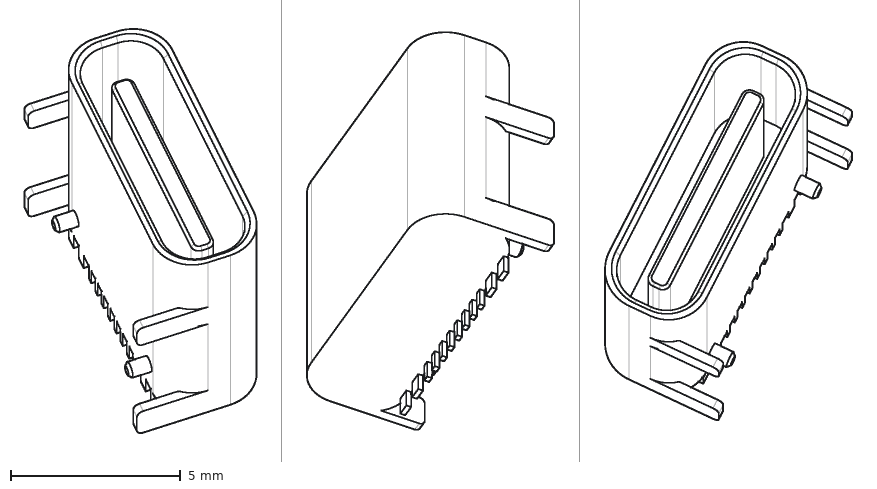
import cadquery as cq

shell_width = 8.94
shell_depth = 3.21
shell_height = 7.3
shell_corner_radius = 1.25
front_y = -shell_depth / 2

cavity_width = 8.34
cavity_depth = 2.56
cavity_corner_radius = 1.03
cavity_mouth_chamfer = 0.15
floor_z = 1.11

leg_reach = 1.0
leg_thickness = (shell_width - cavity_width) / 2
leg_corner_radius = 0.2
leg_back_y = front_y + shell_corner_radius
leg_tip_y = front_y - leg_reach
lower_leg_bottom, lower_leg_top = 0.0, 1.055
upper_leg_bottom, upper_leg_top = 4.3, 5.13

peg_diameter = 0.5
peg_length = 0.7
peg_tip_chamfer = 0.1
peg_offset_x = 2.9
peg_z = 1.05

tail_length = 0.6
tail_thickness = 0.16
signal_count = 8
signal_pitch = 0.5
signal_width = 0.2
power_width = 0.4
power_offset_inner = 2.46
power_offset_outer = 3.25

tongue_width = 6.72
tongue_depth = 0.7
tongue_corner_radius = 0.25
tongue_tip_chamfer = 0.1
tongue_top_z = 6.51


def rounded_block(width, depth, corner_radius, bottom_z, top_z):
    """Upright block, centred on X and Y, with its four vertical edges rounded."""
    block = cq.Workplane("XY").workplane(offset=bottom_z).rect(width, depth).extrude(top_z - bottom_z)
    return block.edges("|Z").fillet(corner_radius)


def make_leg(side, bottom_z, top_z):
    """One leg, with its two front corners rounded; side is -1 or +1 along X."""
    leg = cq.Workplane("XY").box(
        leg_thickness, leg_back_y - leg_tip_y, top_z - bottom_z, centered=(True, False, False)
    )
    leg = leg.faces("<Y").edges("|X").fillet(leg_corner_radius)
    return leg.translate((side * (shell_width - leg_thickness) / 2, leg_tip_y, bottom_z))


def make_peg(x):
    """Round peg pointing to -Y from the front face, with a chamfered tip."""
    front_plane = cq.Plane(origin=(x, front_y, peg_z), xDir=(1, 0, 0), normal=(0, -1, 0))
    peg = cq.Workplane(front_plane).circle(peg_diameter / 2).extrude(peg_length)
    return peg.faces("<Y").chamfer(peg_tip_chamfer)


def make_tail(x, width):
    """Flat contact tail, hanging from the underside of the shell."""
    tail = cq.Workplane("XY").box(width, tail_thickness, tail_length, centered=(True, False, False))
    return tail.translate((x, front_y, -tail_length))


def make_mouth():
    """Cutter for the mouth chamfer: the cavity outline, flaring outward at 45 degrees to the top rim."""
    mouth = rounded_block(
        cavity_width + 2 * cavity_mouth_chamfer,
        cavity_depth + 2 * cavity_mouth_chamfer,
        cavity_corner_radius + cavity_mouth_chamfer,
        shell_height - cavity_mouth_chamfer,
        shell_height + cavity_mouth_chamfer,
    )
    return mouth.faces("<Z").chamfer(cavity_mouth_chamfer)


def make_shell():
    """Housing with its cavity, legs, pegs and contact tails."""
    shell = rounded_block(shell_width, shell_depth, shell_corner_radius, 0, shell_height)
    cavity = rounded_block(cavity_width, cavity_depth, cavity_corner_radius, floor_z, shell_height)
    shell = shell.cut(cavity).cut(make_mouth())

    for side in (-1, 1):
        shell = shell.union(make_leg(side, lower_leg_bottom, lower_leg_top))
        shell = shell.union(make_leg(side, upper_leg_bottom, upper_leg_top))
        shell = shell.union(make_peg(side * peg_offset_x))
        for offset in (power_offset_inner, power_offset_outer):
            shell = shell.union(make_tail(side * offset, power_width))

    for index in range(signal_count):
        x = (index - (signal_count - 1) / 2) * signal_pitch
        shell = shell.union(make_tail(x, signal_width))
    return shell.clean()


def make_tongue():
    """Blade with rounded vertical edges and a chamfered tip."""
    tongue = rounded_block(tongue_width, tongue_depth, tongue_corner_radius, floor_z, tongue_top_z)
    return tongue.faces(">Z").chamfer(tongue_tip_chamfer)


shell = make_shell()
tongue = make_tongue()

result = cq.Compound.makeCompound([shell.val(), tongue.val()])